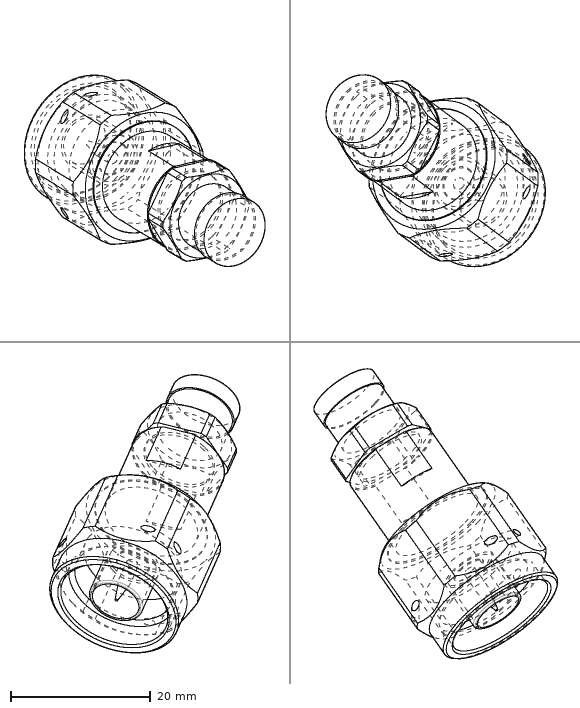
import cadquery as cq
import math

ring_end = 4.0
coupling_end = 16.95
collar_end = 17.2
body_flat_start = 22.6
body_end = 29.6
nut_start = 30.1
nut_end = 34.58
ferrule_start = 39.3
length = 41.95

ring_radius = 9.78
collar_radius = 8.48
body_radius = 7.0
groove_radius = 5.3
neck_radius = 4.9
ferrule_radius = 5.15
ring_chamfer_length = 0.3
ring_chamfer_depth = 0.35
body_chamfer = 0.13

coupling_across_flats = 20.0
coupling_apothem = coupling_across_flats / 2
coupling_corner_radius = 11.0
coupling_front_cone_length = 1.3
coupling_rear_cone_length = 1.35
coupling_cone_radius = ring_radius
nut_apothem = 6.5
body_apothem = nut_apothem
nut_corner_radius = 7.25
nut_cone_length = 0.5
nut_cone_radius = 6.38

socket_mouth_radius = 8.45
socket_radius = 8.1
socket_mouth_depth = 0.35
socket_taper_start = 4.0
socket_taper_end = 4.65
socket_inner_radius = 7.43
socket_floor = 8.75

tube_start = 0.95
tube_radius = 4.03
tube_lip_fillet = 0.25
tube_bore_radius = 3.52
tube_floor = socket_floor
insulator_radius = 2.5
insulator_step = 0.13
pin_start = 1.25
pin_tip_radius = 0.19
pin_radius = 0.9
pin_cone_length = 3.78

wire_hole_x = 7.2
wire_hole_diameter = 1.05
wire_hole_offset = 10.05


def turned(points):
    """Solid of revolution about X from (x, radius) points, closed along the axis."""
    axis_start = (points[0][0], 0)
    axis_end = (points[-1][0], 0)
    profile = cq.Workplane("XY").polyline([axis_start, *points, axis_end]).close()
    return profile.revolve(360, (0, 0, 0), (1, 0, 0))


def cylinder(start, end, radius):
    return turned([(start, radius), (end, radius)])


def hexagon(start, end, apothem):
    """Hexagonal bar along X with flats facing up and down."""
    across_corners = 2 * apothem / math.cos(math.pi / 6)
    return cq.Workplane("YZ", origin=(start, 0, 0)).polygon(6, across_corners).extrude(end - start)


def coupling_nut():
    blank = turned([
        (ring_end, coupling_cone_radius),
        (ring_end + coupling_front_cone_length, coupling_corner_radius),
        (coupling_end - coupling_rear_cone_length, coupling_corner_radius),
        (coupling_end, coupling_cone_radius),
    ])
    nut = hexagon(ring_end, coupling_end, coupling_apothem).intersect(blank)
    ring = turned([
        (0, ring_radius - ring_chamfer_depth),
        (ring_chamfer_length, ring_radius),
        (ring_end, ring_radius),
    ])
    return nut.union(ring)


def wire_holes():
    reach = coupling_corner_radius
    hole = (
        cq.Workplane("XY", origin=(wire_hole_x, wire_hole_offset, -reach))
        .circle(wire_hole_diameter / 2)
        .extrude(2 * reach)
    )
    holes = hole
    for angle in (120, 240):
        holes = holes.union(hole.rotate((0, 0, 0), (1, 0, 0), angle))
    return holes


def socket():
    return turned([
        (0, socket_mouth_radius),
        (socket_mouth_depth, socket_radius),
        (socket_taper_start, socket_radius),
        (socket_taper_end, socket_inner_radius),
        (socket_floor, socket_inner_radius),
    ])


def contacts():
    """Outer contact tube with the insulator face and the pointed pin inside it."""
    tube = cylinder(tube_start, tube_floor, tube_radius).faces("<X").edges().fillet(tube_lip_fillet)
    bore = cylinder(tube_start, tube_floor, tube_bore_radius)
    insulator = turned([
        (tube_floor - insulator_step, insulator_radius - insulator_step),
        (tube_floor, insulator_radius),
    ])
    pin = turned([
        (pin_start, pin_tip_radius),
        (pin_start + pin_cone_length, pin_radius),
        (tube_floor, pin_radius),
    ])
    return tube.cut(bore).union(insulator).union(pin)


def body():
    barrel = turned([
        (collar_end, body_radius),
        (body_end - body_chamfer, body_radius),
        (body_end, body_radius - body_chamfer),
    ])
    plain = cylinder(collar_end, body_flat_start, body_radius)
    between_flats = (
        cq.Workplane("YZ", origin=(body_flat_start, 0, 0))
        .rect(2 * body_radius, 2 * body_apothem)
        .extrude(body_end - body_flat_start)
    )
    barrel = barrel.intersect(plain.union(between_flats))
    collar = cylinder(coupling_end, collar_end, collar_radius)
    return collar.union(barrel)


def clamp_nut():
    blank = turned([
        (nut_start, nut_corner_radius),
        (nut_end - nut_cone_length, nut_corner_radius),
        (nut_end, nut_cone_radius),
    ])
    return hexagon(nut_start, nut_end, nut_apothem).intersect(blank)


def cable_end():
    groove = cylinder(body_end, nut_start, groove_radius)
    neck = cylinder(nut_end, ferrule_start, neck_radius)
    ferrule = cylinder(ferrule_start, length, ferrule_radius)
    return groove.union(neck).union(ferrule)


shell = coupling_nut().cut(wire_holes()).cut(socket()).union(contacts())
result = shell.union(body()).union(cable_end()).union(clamp_nut())